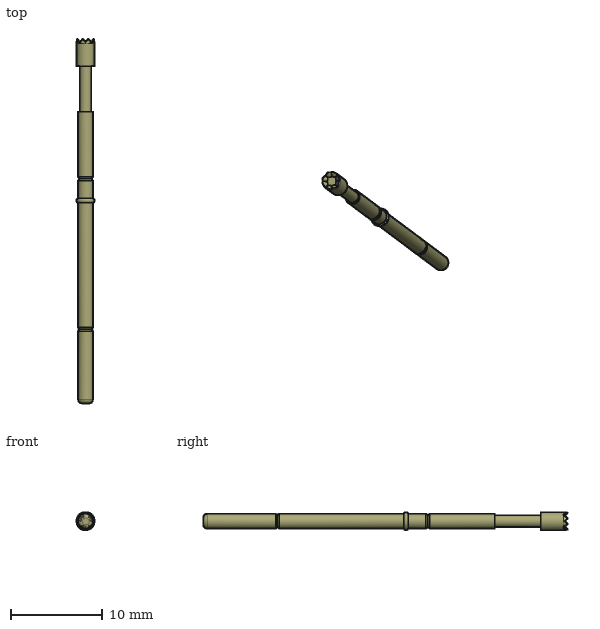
import cadquery as cq

total_length = 40.0
head_length = 3.0
stroke_length = 5.0

head_radius = 1.0
shaft_radius = 0.65
barrel_radius = 0.825
ring_radius = 1.0

tail_fillet = 0.45

groove_depth = 0.15
front_groove_y = 24.65
front_groove_width = 0.45
rear_groove_y = 8.15
rear_groove_width = 0.4
ring_y = 22.25
ring_width = 0.5

tooth_pitch = 0.6
crown_height = 0.5
crown_tip_radius = 0.955
tooth_slope = 0.9

head_base_y = total_length - head_length
barrel_end_y = head_base_y - stroke_length
crown_base_y = total_length - crown_height
inner_row = tooth_pitch / 2
outer_row = inner_row + tooth_pitch
tooth_foot_radius = tooth_slope * crown_height


def make_rod(radius, start_y, end_y):
    """Cylinder along Y between two stations."""
    workplane = cq.Workplane("XZ", origin=(0, start_y, 0))
    return workplane.circle(radius).extrude(start_y - end_y)


def make_barrel():
    """Straight barrel with a rounded tail."""
    return make_rod(barrel_radius, 0, barrel_end_y).faces("<Y").edges().fillet(tail_fillet)


def make_crimp_groove(center_y, width):
    """V-shaped ring that is cut around the barrel."""
    profile = cq.Workplane("XY").polyline([
        (barrel_radius, center_y - width / 2),
        (barrel_radius - groove_depth, center_y),
        (barrel_radius, center_y + width / 2),
    ]).close()
    return profile.revolve(360, (0, 0, 0), (0, 1, 0))


def make_press_ring():
    """Collar with a half-round rim."""
    rim_radius = ring_width / 2
    rim_center = ring_radius - rim_radius
    profile = (
        cq.Workplane("XY")
        .moveTo(0, ring_y - rim_radius)
        .lineTo(rim_center, ring_y - rim_radius)
        .threePointArc((ring_radius, ring_y), (rim_center, ring_y + rim_radius))
        .lineTo(0, ring_y + rim_radius)
        .close()
    )
    return profile.revolve(360, (0, 0, 0), (0, 1, 0))


def make_crown_envelope():
    """Tapered disc that bounds the outer flanks of the teeth."""
    profile = cq.Workplane("XY").polyline([
        (0, crown_base_y),
        (head_radius, crown_base_y),
        (crown_tip_radius, total_length),
        (0, total_length),
    ]).close()
    return profile.revolve(360, (0, 0, 0), (0, 1, 0))


def make_tooth(tip_x, tip_z):
    """Conical tooth standing on the head, with its point on the end plane."""
    foot_center = cq.Vector(tip_x, crown_base_y, tip_z)
    cone = cq.Solid.makeCone(tooth_foot_radius, 0, crown_height, foot_center, cq.Vector(0, 1, 0))
    return cq.Workplane(cone)


def make_head():
    """Round head with a ring of conical teeth, trimmed to the tapered envelope."""
    head = make_rod(head_radius, head_base_y, crown_base_y)
    envelope = make_crown_envelope()
    for side_x in (-1, 1):
        for side_z in (-1, 1):
            for tip_x, tip_z in ((inner_row, outer_row), (outer_row, inner_row)):
                tooth = make_tooth(side_x * tip_x, side_z * tip_z)
                head = head.union(envelope.intersect(tooth))
    return head


barrel = make_barrel()
barrel = barrel.cut(make_crimp_groove(front_groove_y, front_groove_width))
barrel = barrel.cut(make_crimp_groove(rear_groove_y, rear_groove_width))
barrel = barrel.union(make_press_ring())
shaft = make_rod(shaft_radius, barrel_end_y, head_base_y)
head = make_head()

result = barrel.union(shaft).union(head)